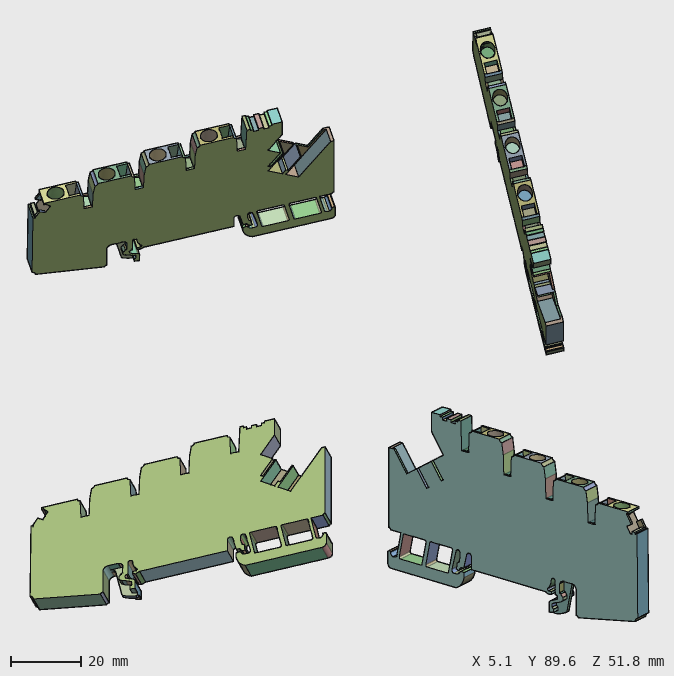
import cadquery as cq
import math

thickness = 5.1
half_thickness = thickness / 2

back_end = 44.4
front_end = -44.5
front_toe = -44.8
toe_radius = 1.4
heel_radius = 0.7
back_corner = 0.6
underside = 11.8
rail_seat = 7.0
embed = 0.9

valley_y = 38.0
valley_z = 30.5
valley_tilt = 35
valley_floor_length = 15.9
valley_back_length = 7.9
valley_slot_width = 0.8
valley_slot_depth = 6.3
valley_slot_places = (4.75, 11.1)
marker_lip = 0.6
marker_seat_depth = 0.7
bay_depth = 8.1
bay_divider = 0.45

post_top = 51.75
post_back = 29.1
post_front = 18.6
post_waist = 45.75
label_step = 0.5
label_groove = 1.3

tower_count = 4
tower_row_length = 45.2
tower_row_drop = 10.6
tower_pitch = tower_row_length / (tower_count - 1)
tower_drop = tower_row_drop / (tower_count - 1)
tower_back = 15.6
tower_top = 49.7
tower_corner = 0.8
tower_flat_end = 4.8
tower_shoulder = 3.9
tower_waist = 3.4
shoulder_drop = 0.9
shoulder_radius = 1.1
waist_drop = 4.5
gap_back = 18.3
gap_front = 15.85
gap_floor = 42.7

socket_width = 3.8
socket_length = 3.2
socket_offset = 0.7
socket_depth = 5.4
socket_taper = 0.5
screw_hole_width = 4.2
screw_hole_length = 4.8
screw_hole_offset = 7.4
screw_hole_depth = 7.2
gap_recess_depth = 0.9

slope_top = (-40.65, 38.5)
slope_bottom = (-43.8, 33.5)
front_seat_depth = 1.9
front_wall = 0.7
seat_split = 0.58
seat_start = 0.1
seat_end = 0.98
seat_step = 33.4
seat_step_y = -42.6

foot_floor = 3.8
tray_back = 44.8
window_count = 2
window_pitch = 9.5
window_back = 39.1
window_length = 8.15
window_corner = 0.45
leg_lean = 1.6
tray_corner = 1.3

clip_web = 1.1


def prism(points, x_from=-half_thickness, x_to=half_thickness):
    """Extrude a YZ polygon between two X positions."""
    return cq.Workplane("YZ", origin=(x_from, 0, 0)).polyline(points).close().extrude(x_to - x_from)


def valley_point(along, up):
    """Point in the tilted valley frame: along its floor toward -Y, and square to the floor."""
    tilt = math.radians(valley_tilt)
    y = valley_y - along * math.cos(tilt) + up * math.sin(tilt)
    z = valley_z + along * math.sin(tilt) + up * math.cos(tilt)
    return (y, z)


def slope_point(share, inward=0):
    """Point on the front slope, by share of its length from the top, moved square into the body."""
    run_y = slope_bottom[0] - slope_top[0]
    run_z = slope_bottom[1] - slope_top[1]
    length = math.hypot(run_y, run_z)
    y = slope_top[0] + share * run_y - inward * run_z / length
    z = slope_top[1] + share * run_z + inward * run_y / length
    return (y, z)


def post_outline():
    """Top of the label post, with stepped edges and two snap grooves."""
    step = post_top - label_step
    groove = post_top - label_groove
    return [
        (post_back, post_waist), (post_back, post_top), (26.05, post_top),
        (26.05, step), (25.2, step), (25.2, groove), (23.6, groove), (23.6, step),
        (22.1, step), (22.1, groove), (20.6, groove), (20.6, step),
        (19.7, step), (19.7, post_top), (post_front, post_top),
    ]


def housing():
    """Housing outline from the back end over the towers to the front block and the clip."""
    path = cq.Workplane("YZ", origin=(-half_thickness, 0, 0))
    path = path.moveTo(back_end, underside + back_corner)
    back_top = valley_point(0, valley_back_length)
    outline = [(back_end, back_top[1]), back_top, valley_point(0, 0), valley_point(valley_floor_length, 0)]
    for point in outline + post_outline():
        path = path.lineTo(*point)

    for index in range(tower_count):
        shift = -index * tower_pitch
        drop = index * tower_drop
        top = tower_top - drop
        path = path.lineTo(gap_back + shift, gap_floor - drop).lineTo(gap_front + shift, gap_floor - drop)
        path = path.lineTo(tower_back + shift, top - tower_corner)
        path = path.radiusArc((tower_back - tower_corner + shift, top), tower_corner)
        if index < tower_count - 1:
            path = path.lineTo(tower_flat_end + shift, top)
            path = path.radiusArc((tower_shoulder + shift, top - shoulder_drop), shoulder_radius)
            path = path.lineTo(tower_waist + shift, top - waist_drop)

    last_top = tower_top - (tower_count - 1) * tower_drop
    lip = [(-41.3, last_top), (-41.3, slope_top[1]), slope_top, slope_bottom]
    catch = [(-43.9, 32.9), (-44.05, 33.2), (front_end, 33.2)]
    for point in lip + catch:
        path = path.lineTo(*point)

    path = path.lineTo(front_toe, 7.3)
    path = path.radiusArc((-43.8, 6.0), toe_radius)
    path = path.lineTo(-23.5, 2.0).radiusArc((-22.65, 2.5), heel_radius)

    path = path.lineTo(-22.65, 10.6).threePointArc((-21.1, underside), (-19.7, 10.8))
    path = path.lineTo(-17.9, 2.2).threePointArc((-17.8, 1.8), (-17.55, 1.4))
    path = path.threePointArc((-15.6, 0.5), (-13.5, 0.1)).lineTo(-13.0, 0.4)
    path = path.lineTo(-13.0, 3.6).threePointArc((-13.2, 4.4), (-13.6, 4.75))
    path = path.lineTo(-15.5, 5.55).threePointArc((-16.0, 6.3), (-15.6, rail_seat))
    path = path.lineTo(-15.1, rail_seat).lineTo(-15.1, 11.1)
    path = path.threePointArc((-14.4, underside), (-13.8, 11.2))
    path = path.threePointArc((-13.4, 9.6), (-12.35, 8.1))
    catch_nose = [(-12.7, 7.5), (-13.8, 7.5), (-13.8, 6.7), (-12.9, 6.45), (-11.6, rail_seat)]
    for point in catch_nose:
        path = path.lineTo(*point)

    path = path.lineTo(14.9, rail_seat).lineTo(14.9, underside).lineTo(back_end - back_corner, underside)
    path = path.radiusArc((back_end, underside + back_corner), back_corner)
    return path.close().extrude(thickness)


def rail_foot():
    """Foot tray on sprung legs, ending at a hook that faces the rail."""
    path = cq.Workplane("YZ", origin=(-half_thickness, 0, 0))
    path = path.moveTo(40.2, underside + embed).lineTo(40.2, 11.4).lineTo(41.5, 4.5)
    path = path.threePointArc((41.9, 3.9), (42.4, foot_floor)).lineTo(43, foot_floor)
    path = path.threePointArc((43.5, 4.2), (43.8, 4.9)).lineTo(43.6, 5.2)
    path = path.lineTo(44.5, 5.2).lineTo(tray_back, 4.9)
    path = path.lineTo(tray_back, tray_corner).radiusArc((tray_back - tray_corner, 0), tray_corner)
    path = path.lineTo(20.2, 0).threePointArc((18.3, 1.8), (17.5, 3.85))
    for point in [(17.5, 5.4), (18.35, 5.6), (19.2, 5.1)]:
        path = path.lineTo(*point)
    path = path.threePointArc((19.6, 4.5), (20.2, 4.3)).lineTo(21.1, 4.3)
    path = path.threePointArc((21.7, 4.7), (21.8, 5.4)).lineTo(20.3, 11.2)
    path = path.threePointArc((19.5, underside), (18.9, 11.1))

    path = path.lineTo(18.9, 9.7).lineTo(19.25, 8.2)
    for point in [(20.0, 7.7), (20.0, 6.8), (20.2, 5.8), (19.4, 5.55), (18.5, 6.7), (17.55, 6.7), (16.5, 11.2)]:
        path = path.lineTo(*point)
    path = path.threePointArc((15.7, underside), (14.9, 11.2)).lineTo(14.9, underside + embed)
    foot = path.close().extrude(thickness)

    for index in range(window_count):
        back = window_back - index * window_pitch
        window = prism([
            (back, underside), (back - window_length, underside),
            (back - window_length + leg_lean, foot_floor), (back + leg_lean, foot_floor),
        ])
        foot = foot.cut(window.edges("|X").fillet(window_corner))
    return foot


def clip_side_pockets():
    """Recesses on both sides of the clip that leave a thin central web beside its sprung strip."""
    points = [
        (-21.1, underside), (-18.1, underside), (-17.2, 11.5), (-16.7, 10.7), (-16.7, 8.0), (-17.2, 7.7),
        (-17.9, 6.8), (-17.9, 5.8), (-17.1, 5.2), (-15.85, 4.75), (-14.15, 3.9), (-14.1, 2.9), (-14.6, 2.3),
        (-14.6, 1.3), (-13.25, 1.1), (-12.5, 1.1), (-12.5, -0.9), (-19.7, -0.9), (-19.7, 10.8),
    ]
    near = prism(points, -half_thickness, -clip_web / 2)
    far = prism(points, clip_web / 2, half_thickness)
    return near.union(far)


def valley_block(start, end, bottom, top, x_from=-half_thickness):
    """Block square to the valley floor, from x_from through the +X side."""
    return prism([
        valley_point(start, bottom), valley_point(end, bottom),
        valley_point(end, top), valley_point(start, top),
    ], x_from)


def valley_cuts():
    """Marker seat in the back wall, then two slots, each with a hollow bay behind it."""
    lip_x = -half_thickness + marker_lip
    clearance = 0.9
    cuts = valley_block(-marker_seat_depth, 0, 0, valley_back_length + clearance, lip_x)
    bay_start = -marker_seat_depth
    for place in valley_slot_places:
        slot_start = place - valley_slot_width / 2
        slot_end = place + valley_slot_width / 2
        cuts = cuts.union(valley_block(slot_start, slot_end, -valley_slot_depth, clearance))
        bay_end = slot_start - bay_divider
        cuts = cuts.union(valley_block(bay_start, bay_end, -bay_depth, 0, lip_x))
        bay_start = slot_end
    return cuts


def front_seat():
    """Label seat in the front slope: lipped at -X above, walled at +X below."""
    upper = prism([
        slope_point(0), slope_point(seat_split),
        slope_point(seat_split, front_seat_depth), slope_point(seat_start, front_seat_depth),
    ], -half_thickness + marker_lip)
    floor_corner = slope_point(seat_end, front_seat_depth)
    lower = prism([
        slope_point(seat_split), slope_point(seat_split, front_seat_depth), floor_corner,
        (seat_step_y, floor_corner[1]), (seat_step_y, seat_step), slope_bottom,
    ], -half_thickness, half_thickness - front_wall)
    return upper.union(lower)


def tower_openings(index):
    """Wire socket and oval screwdriver hole of one tower, and the recess in the gap behind it."""
    shift = -index * tower_pitch
    drop = index * tower_drop
    back = tower_back + shift - socket_offset
    top = tower_top - drop
    socket = prism([
        (back, top), (back - socket_length, top),
        (back - socket_length, top - socket_depth), (back - socket_taper, top - socket_depth),
    ], -socket_width / 2, socket_width / 2)
    hole = cq.Workplane("XY", origin=(0, tower_back + shift - screw_hole_offset, top))
    hole = hole.ellipse(screw_hole_width / 2, screw_hole_length / 2).extrude(-screw_hole_depth)
    floor = gap_floor - drop
    recess = prism([
        (gap_back + shift, floor), (gap_front + shift, floor), (gap_back + shift, floor - gap_recess_depth),
    ], -socket_width / 2, socket_width / 2)
    return socket.union(hole).union(recess)


result = housing().union(rail_foot())
result = result.cut(clip_side_pockets()).cut(valley_cuts()).cut(front_seat())
for tower in range(tower_count):
    result = result.cut(tower_openings(tower))